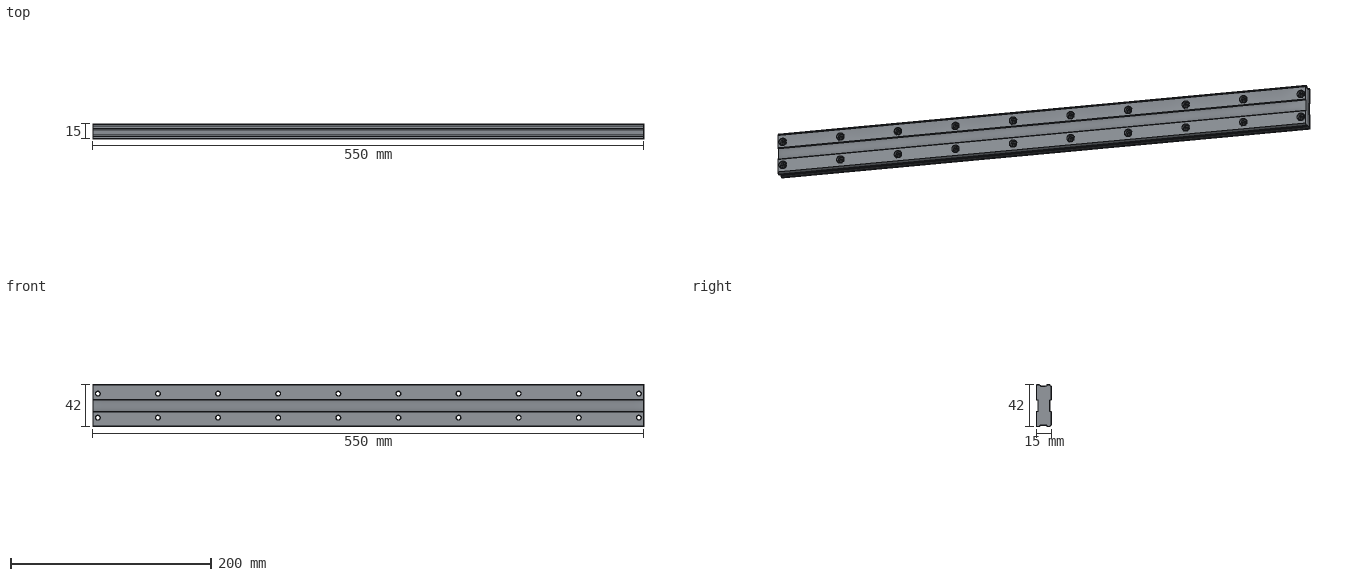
import cadquery as cq


LENGTH = 550.0
HEIGHT = 15.0
WIDTH = 42.0

CHANNEL_WIDTH = 11.2
CHANNEL_DEPTH = 1.5

TRACK_TOP = 4.15
TRACK_WALL_END = 4.8
TRACK_FLOOR_TOP = 6.2
TRACK_FLOOR_BOTTOM = 10.75
TRACK_BOTTOM = 12.15
TRACK_WALL_DEPTH = 1.2
TRACK_DEPTH = 1.4

HEAD_CHAMFER = 1.9
SMALL_CHAMFER = 0.5

HOLE_PITCH = 60.0
HOLES_PER_ROW = 10
HOLE_ROWS = 2
ROW_SPACING = 24.0
HOLE_DIAMETER = 4.5
COUNTERBORE_DIAMETER = 7.5
COUNTERBORE_DEPTH = 5.3

HEAD_FACE = HEIGHT / 2
BASE_FACE = -HEIGHT / 2
SIDE = WIDTH / 2


def half_profile():
    """Upper (+Z) half of the cross-section as (y, z) points, from base face to head face."""
    channel_edge = CHANNEL_WIDTH / 2
    channel_lip = channel_edge + SMALL_CHAMFER
    track_floor = SIDE - TRACK_DEPTH
    return [
        (BASE_FACE + CHANNEL_DEPTH, channel_edge),
        (BASE_FACE + SMALL_CHAMFER, channel_edge),
        (BASE_FACE, channel_lip),
        (BASE_FACE, SIDE - SMALL_CHAMFER),
        (BASE_FACE + SMALL_CHAMFER, SIDE),
        (HEAD_FACE - TRACK_BOTTOM, SIDE),
        (HEAD_FACE - TRACK_FLOOR_BOTTOM, track_floor),
        (HEAD_FACE - TRACK_FLOOR_TOP, track_floor),
        (HEAD_FACE - TRACK_WALL_END, SIDE - TRACK_WALL_DEPTH),
        (HEAD_FACE - TRACK_TOP, SIDE),
        (HEAD_FACE - HEAD_CHAMFER, SIDE),
        (HEAD_FACE, SIDE - HEAD_CHAMFER),
        (HEAD_FACE, channel_lip),
        (HEAD_FACE - SMALL_CHAMFER, channel_edge),
        (HEAD_FACE - CHANNEL_DEPTH, channel_edge),
    ]


def make_rail():
    """Extrude the full symmetric profile along X, centred on the origin."""
    upper = half_profile()
    lower = [(y, -z) for y, z in reversed(upper)]
    return cq.Workplane("YZ").polyline(upper + lower).close().extrude(LENGTH / 2, both=True)


def cut_screw_holes(rail):
    """Cut both rows of through holes, counterbored from the head face."""
    head_plane = cq.Plane(origin=(0, HEAD_FACE, 0), xDir=(1, 0, 0), normal=(0, 1, 0))
    holes = cq.Workplane(head_plane).rarray(HOLE_PITCH, ROW_SPACING, HOLES_PER_ROW, HOLE_ROWS)
    shanks = holes.circle(HOLE_DIAMETER / 2).extrude(-HEIGHT)
    heads = holes.circle(COUNTERBORE_DIAMETER / 2).extrude(-COUNTERBORE_DEPTH)
    return rail.cut(shanks).cut(heads)


result = cut_screw_holes(make_rail())